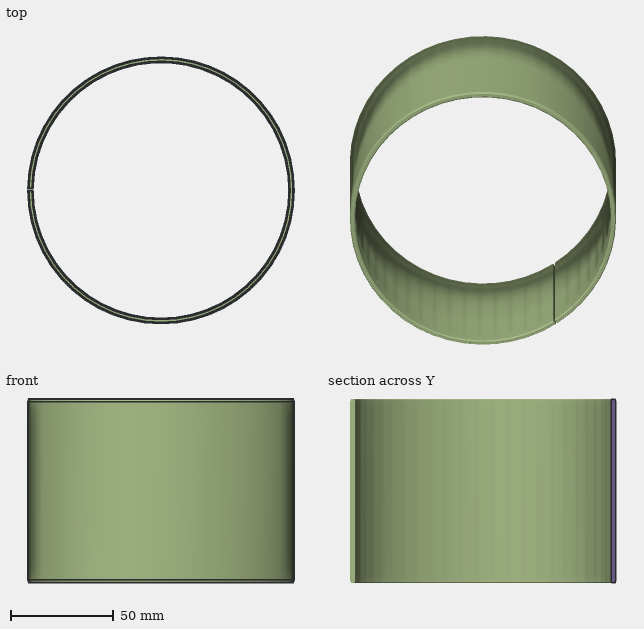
import cadquery as cq

outer_diameter = 130.0
wall = 2.5
height = 90.0
slit_width = 1.0
outer_chamfer_height = 1.5
outer_chamfer_depth = 0.5
inner_chamfer = 0.5

outer_radius = outer_diameter / 2
inner_radius = outer_radius - wall


def sleeve():
    """Revolve the wall section, chamfered at all four corners, about Z."""
    section = (
        cq.Workplane("XZ")
        .moveTo(inner_radius + inner_chamfer, 0)
        .lineTo(outer_radius - outer_chamfer_depth, 0)
        .lineTo(outer_radius, outer_chamfer_height)
        .lineTo(outer_radius, height - outer_chamfer_height)
        .lineTo(outer_radius - outer_chamfer_depth, height)
        .lineTo(inner_radius + inner_chamfer, height)
        .lineTo(inner_radius, height - inner_chamfer)
        .lineTo(inner_radius, inner_chamfer)
        .close()
    )
    return section.revolve(360, (0, 0, 0), (0, 1, 0))


def slit():
    """Full-height cutter through the wall on the -X side, from the XZ plane toward +Y."""
    cutter = cq.Workplane("XY").box(outer_radius, slit_width, height, centered=False)
    return cutter.translate((-outer_radius, 0, 0))


result = sleeve().cut(slit())